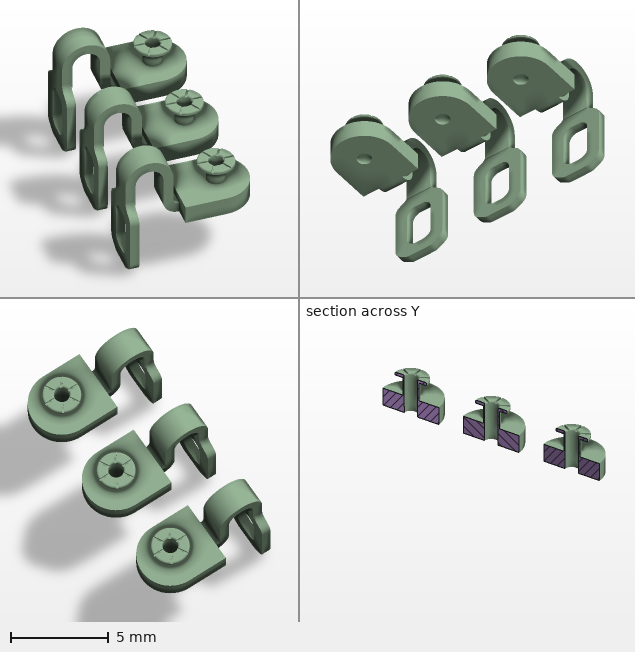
import cadquery as cq
import math

overall_length = 13.5
terminal_count = 3

pad_width = 3.5
pad_length = 4.0
pad_height = 1.03
pitch = (overall_length - pad_width) / (terminal_count - 1)
pad_front_y = pad_width / 2 - pad_length

post_diameter = 1.03
post_height = 1.22
head_diameter = 2.0
head_thickness = 0.2
bore_diameter = 0.8
head_fillet = 0.1
slot_count = 6
slot_width = 0.12
slot_depth = head_fillet
head_top_z = pad_height + post_height

strip_width = 1.5
strip_thickness = 0.55
stub_length = 0.04
bend_inner_radius = 0.25
arch_inner_diameter = 1.5
strip_top_z = 3.58
bend_outer_radius = bend_inner_radius + strip_thickness
arch_inner_radius = arch_inner_diameter / 2
arch_outer_radius = arch_inner_radius + strip_thickness
bend_y = pad_front_y - stub_length
rear_leg_y = bend_y - bend_inner_radius
arch_y = rear_leg_y - arch_outer_radius
arch_z = strip_top_z - arch_outer_radius
front_y = arch_y - arch_outer_radius

eyelet_width = 3.0
eyelet_thickness = 0.5
eyelet_length = 4.0
eyelet_fillet = 0.5
shoulder_angle = 30.0
window_width = 1.5
window_height = 2.5
window_floor_width = 0.69
window_fillet = 0.5
window_side_fillet = 0.32
window_margin = 0.72
eyelet_top_z = pad_height
eyelet_bottom_z = eyelet_top_z - eyelet_length
slope = math.tan(math.radians(shoulder_angle))
shoulder_height = (eyelet_width - strip_width) / 2 * slope


def make_pad():
    half = pad_width / 2
    return (
        cq.Workplane("XY")
        .moveTo(-half, pad_front_y)
        .lineTo(half, pad_front_y)
        .lineTo(half, 0)
        .threePointArc((0, half), (-half, 0))
        .close()
        .extrude(pad_height)
    )


def make_post():
    shank = cq.Workplane("XY").workplane(offset=pad_height).circle(post_diameter / 2).extrude(post_height)
    head = (
        cq.Workplane("XY")
        .workplane(offset=head_top_z - head_thickness)
        .circle(head_diameter / 2)
        .extrude(head_thickness)
    )
    return shank.union(head)


def cut_bore(body):
    bore = cq.Workplane("XY").circle(bore_diameter / 2).extrude(head_top_z)
    return body.cut(bore)


def round_head(body):
    """Round the outer rim of the head and the mouth of the bore."""
    return body.faces(">Z").edges().fillet(head_fillet)


def cut_head_slots(body):
    """Cut radial slots in the head, each pair of opposite slots as one bar across it."""
    bar = cq.Workplane("XY").box(slot_width, 2 * head_diameter, slot_depth, centered=(True, True, False))
    bar = bar.translate((0, 0, head_top_z - slot_depth))
    for index in range(slot_count // 2):
        body = body.cut(bar.rotate((0, 0, 0), (0, 0, 1), index * 360 / slot_count))
    return body


def make_strip():
    """Extrude the bent side profile symmetrically across the strip width."""
    diagonal = math.sqrt(0.5)
    return (
        cq.Workplane("YZ")
        .moveTo(pad_front_y, 0)
        .lineTo(bend_y, 0)
        .threePointArc(
            (bend_y - bend_outer_radius * diagonal, bend_outer_radius * (1 - diagonal)),
            (bend_y - bend_outer_radius, bend_outer_radius),
        )
        .lineTo(arch_y + arch_inner_radius, arch_z)
        .threePointArc((arch_y, arch_z + arch_inner_radius), (arch_y - arch_inner_radius, arch_z))
        .lineTo(front_y + strip_thickness, eyelet_top_z)
        .lineTo(front_y, eyelet_top_z)
        .lineTo(front_y, arch_z)
        .threePointArc((arch_y, strip_top_z), (rear_leg_y, arch_z))
        .lineTo(rear_leg_y, bend_outer_radius)
        .threePointArc(
            (bend_y - bend_inner_radius * diagonal, bend_outer_radius - bend_inner_radius * diagonal),
            (bend_y, strip_thickness),
        )
        .lineTo(pad_front_y, strip_thickness)
        .close()
        .extrude(strip_width / 2, both=True)
    )


def make_eyelet_plate():
    """Plate with sloped, rounded corners and a neck that reaches up the front leg."""
    half_neck = strip_width / 2
    half_width = eyelet_width / 2
    right_side = [
        (half_neck, eyelet_bottom_z),
        (half_width, eyelet_bottom_z + shoulder_height),
        (half_width, eyelet_top_z - shoulder_height),
        (half_neck, eyelet_top_z),
        (half_neck, arch_z),
    ]
    left_side = [(-x, z) for x, z in reversed(right_side)]
    return (
        cq.Workplane("XZ", origin=(0, front_y, 0))
        .polyline(right_side + left_side)
        .close()
        .extrude(-eyelet_thickness)
        .edges("|Y and (not >Z)")
        .fillet(eyelet_fillet)
    )


def make_window():
    """Window cutter: round upper corners, and lower corners sloped like the shoulders."""
    half_window = window_width / 2
    half_floor = window_floor_width / 2
    bottom_z = eyelet_bottom_z + window_margin
    top_z = bottom_z + window_height
    slope_top_z = bottom_z + (half_window - half_floor) * slope
    right_side = [(half_floor, bottom_z), (half_window, slope_top_z), (half_window, top_z)]
    left_side = [(-x, z) for x, z in reversed(right_side)]
    return (
        cq.Workplane("XZ", origin=(0, front_y, 0))
        .polyline(right_side + left_side)
        .close()
        .extrude(-eyelet_thickness)
        .edges("|Y and (not >Z) and (not <Z)")
        .fillet(window_side_fillet)
        .edges("|Y and (>Z or <Z)")
        .fillet(window_fillet)
    )


def make_terminal():
    mount = cut_bore(make_pad().union(make_post()))
    mount = cut_head_slots(round_head(mount))
    eyelet = make_eyelet_plate().cut(make_window())
    return mount.union(make_strip()).union(eyelet)


terminal = make_terminal()
terminals = []
for index in range(terminal_count):
    offset_x = (index - (terminal_count - 1) / 2) * pitch
    terminals.append(terminal.translate((offset_x, 0, 0)).val())

result = cq.Compound.makeCompound(terminals)